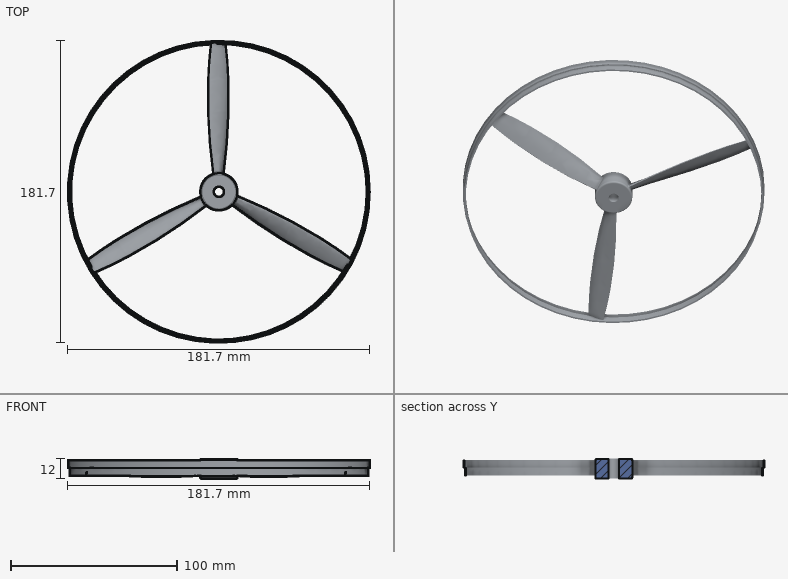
import cadquery as cq
import math

HUB_DIAMETER = 22.5
HUB_HEIGHT = 12.0
HUB_EDGE_FILLET = 1.0
BORE_DIAMETER = 6.0

UPPER_OUTER_DIAMETER = 181.71
UPPER_INNER_DIAMETER = 179.71
LOWER_OUTER_DIAMETER = 180.0
LOWER_INNER_DIAMETER = 178.0
BAND_HEIGHT = 4.75
RIM_TOP_DROP = 0.75
RIM_TOP_Z = HUB_HEIGHT / 2 - RIM_TOP_DROP
RIM_STEP_Z = RIM_TOP_Z - BAND_HEIGHT
RIM_BOTTOM_Z = RIM_STEP_Z - BAND_HEIGHT

BLADE_COUNT = 3
FIRST_BLADE_ANGLE = 90.0
BLADE_MID_OFFSET = 0.4
BLADE_MID_Z = -0.6
BLADE_START_RADIUS = 8.0
TIP_INSET = 0.05
BLADE_TIP_RADIUS = LOWER_OUTER_DIAMETER / 2 - TIP_INSET
ROOT_FILLET = 0.6
ROOT_EDGE_TOLERANCE = 0.01
BLADE_STATIONS = [
    (BLADE_START_RADIUS, 8.2, 50.0, 4.0),
    (30.0, 13.2, 39.0, 3.2),
    (50.0, 14.7, 33.0, 2.7),
    (70.0, 13.6, 28.5, 2.0),
    (BLADE_TIP_RADIUS, 9.7, 26.5, 1.2),
]

CREST_POSITION = 0.35
UPPER_SHARE = 0.66
TRAILING_SHARE = 0.2
UPPER_TRAILING_TANGENT = (1.0, 0.25)
UPPER_NOSE_TANGENT = (0.3, -1.0)


def make_hub():
    hub = cq.Workplane("XY").cylinder(HUB_HEIGHT, HUB_DIAMETER / 2)
    return hub.faces("|Z").edges().fillet(HUB_EDGE_FILLET)


def make_band(outer_diameter, inner_diameter, bottom_z):
    band = cq.Workplane("XY").workplane(offset=bottom_z)
    return band.circle(outer_diameter / 2).circle(inner_diameter / 2).extrude(BAND_HEIGHT)


def airfoil_wire(radius, chord, pitch, thickness):
    """Closed airfoil across the radial +X direction, leading edge high on the +Y side."""
    section_plane = cq.Plane(
        origin=(radius, BLADE_MID_OFFSET, BLADE_MID_Z), xDir=(0, 1, 0), normal=(1, 0, 0)
    ).rotated((0, 0, pitch))
    leading_x = chord / 2
    crest_x = leading_x - CREST_POSITION * chord
    upper_y = UPPER_SHARE * thickness
    lower_y = upper_y - thickness
    trailing_y = TRAILING_SHARE * thickness / 2
    section = (
        cq.Workplane(section_plane)
        .moveTo(-leading_x, trailing_y)
        .spline(
            [(crest_x, upper_y), (leading_x, 0)],
            tangents=[UPPER_TRAILING_TANGENT, UPPER_NOSE_TANGENT],
            includeCurrent=True,
        )
        .spline([(crest_x, lower_y), (-leading_x, -trailing_y)], includeCurrent=True)
        .close()
    )
    return section.wire().val()


def make_blade(angle):
    sections = [airfoil_wire(*station) for station in BLADE_STATIONS]
    blade = cq.Workplane(cq.Solid.makeLoft(sections))
    return blade.rotate((0, 0, 0), (0, 0, 1), angle)


def is_root_edge(edge):
    """True for the curved edges where a blade meets the hub wall."""
    ends = (edge.startPoint(), edge.endPoint())
    on_hub_wall = all(
        abs(math.hypot(end.x, end.y) - HUB_DIAMETER / 2) < ROOT_EDGE_TOLERANCE
        for end in ends
    )
    return on_hub_wall and edge.geomType() not in ("LINE", "CIRCLE")


def make_part():
    part = make_hub()
    blade_spacing = 360.0 / BLADE_COUNT
    for index in range(BLADE_COUNT):
        part = part.union(make_blade(FIRST_BLADE_ANGLE + index * blade_spacing))
    part = part.edges().filter(is_root_edge).fillet(ROOT_FILLET)
    part = part.union(make_band(UPPER_OUTER_DIAMETER, UPPER_INNER_DIAMETER, RIM_STEP_Z))
    part = part.union(make_band(LOWER_OUTER_DIAMETER, LOWER_INNER_DIAMETER, RIM_BOTTOM_Z))
    bore = cq.Workplane("XY").cylinder(HUB_HEIGHT, BORE_DIAMETER / 2)
    return part.cut(bore)


result = make_part()